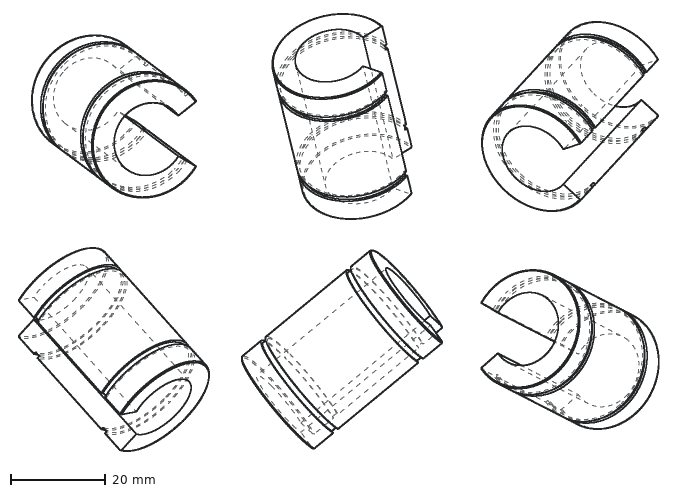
import cadquery as cq
import math

length = 36.0
outer_diameter = 26.0
bore_diameter = 16.0
end_chamfer = 0.25

groove_span = 24.9
groove_width = 1.25
groove_diameter = 24.9

slot_half_angle = 34.0


def cylinder(diameter, start_x, size_x):
    """Solid cylinder along +X, starting at start_x."""
    return cq.Workplane("YZ", origin=(start_x, 0, 0)).circle(diameter / 2).extrude(size_x)


def groove_ring(start_x):
    """Material removed by one retaining-ring groove."""
    return cylinder(outer_diameter, start_x, groove_width).cut(
        cylinder(groove_diameter, start_x, groove_width)
    )


def slot_wedge():
    """Wedge from the axis outwards, giving the slot radial side walls."""
    reach = outer_diameter
    half_opening = reach * math.tan(math.radians(slot_half_angle))
    return (
        cq.Workplane("YZ", origin=(-length / 2, 0, 0))
        .polyline([(0, 0), (reach, half_opening), (reach, -half_opening)])
        .close()
        .extrude(length)
    )


sleeve = cylinder(outer_diameter, -length / 2, length).edges("%CIRCLE").chamfer(end_chamfer)
sleeve = sleeve.cut(cylinder(bore_diameter, -length / 2, length))

for groove_start in (-groove_span / 2, groove_span / 2 - groove_width):
    sleeve = sleeve.cut(groove_ring(groove_start))

result = sleeve.cut(slot_wedge())